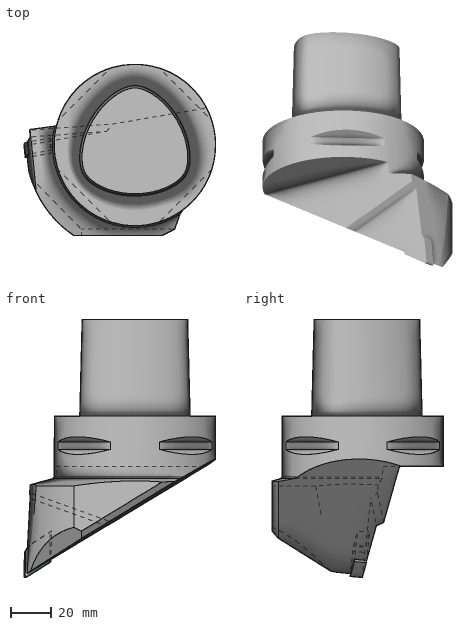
import cadquery as cq
import math

SHANK_HEIGHT = 48.0
SHANK_MEAN_RADIUS = 27.4
LOBE_OFFSET = 2.0
TAPER_PER_SIDE = 1 / 40
OUTLINE_POINTS = 36

FLANGE_RADIUS = 80.0 / 2
FLANGE_DEPTH = 24.8
NECK_DEPTH = 30.1
NECK_CHAMFER = 0.9

GROOVE_MIDDLE_Z = -14.6
GROOVE_FLOOR_HEIGHT = 3.6
GROOVE_DEPTH = 4.5
GROOVE_FLANK_ANGLE = 30
GROOVE_COUNT = 4

HEAD_RADIUS = 54.1
HEAD_FRONT_Y = -44.9
HEAD_BOTTOM_Z = -89.6
SHOULDER_ANGLE = 15
UNDERSIDE_SLOPE = 0.61
UNDERSIDE_SIDE_TILT = -0.03
UNDERSIDE_RIM_Z = -21.2
UNDERSIDE_POINT = (FLANGE_RADIUS, 0, UNDERSIDE_RIM_Z)
UNDERSIDE_NORMAL = (UNDERSIDE_SLOPE, UNDERSIDE_SIDE_TILT, -1)
SIDE_FACE_POINT = (-51.2, 0, -34.5)
SIDE_FACE_NORMAL = (-1, -0.1, 0.064)

RAKE_POINT = cq.Vector(-38.8, 10.1, -FLANGE_DEPTH)
RAKE_NORMAL = cq.Vector(-0.11, 1, -0.1).normalized()
RAKE_ROOT_RADIUS = 0.9
SEAT_DEPTH = 3.1
SEAT_POINT = RAKE_POINT - RAKE_NORMAL * SEAT_DEPTH
SEAT_WALL_POINT = (-52.2, 4.0, -40.6)
SEAT_WALL_NORMAL = (-0.42, 0.81, -1)

INSERT_EDGE = 15.2
INSERT_THICKNESS = 6.0
INSERT_TIP_X = -55
INSERT_TIP_Z = -80.6
INSERT_LEAD_ANGLE = 88
INSERT_LOWER_ANGLE = 32
INSERT_NOSE_RADIUS = 0.8
INSERT_CORNER_CUT = 2.0

SPACE_SIZE = 384


def half_space(point, normal):
    """Large block filling the side of a plane that its normal points to."""
    plane = cq.Plane(origin=point, normal=normal)
    return cq.Workplane(plane).rect(SPACE_SIZE, SPACE_SIZE).extrude(SPACE_SIZE)


def plane_normal(first, second, third):
    """Normal of the plane through three points."""
    start = cq.Vector(*first)
    return (cq.Vector(*second) - start).cross(cq.Vector(*third) - start)


def lobe_outline(mean_radius):
    """Points of a three-lobed constant-width curve with one lobe toward +Y."""
    points = []
    for index in range(OUTLINE_POINTS):
        angle = 2 * math.pi * index / OUTLINE_POINTS
        lobe_angle = 3 * (angle - math.pi / 2)
        reach = mean_radius + LOBE_OFFSET * math.cos(lobe_angle)
        turn = -3 * LOBE_OFFSET * math.sin(lobe_angle)
        x = reach * math.cos(angle) - turn * math.sin(angle)
        y = reach * math.sin(angle) + turn * math.cos(angle)
        points.append((x, y))
    return points


def make_shank():
    top_radius = SHANK_MEAN_RADIUS - SHANK_HEIGHT * TAPER_PER_SIDE
    return (
        cq.Workplane("XY")
        .spline(lobe_outline(SHANK_MEAN_RADIUS), periodic=True).close()
        .workplane(offset=SHANK_HEIGHT)
        .spline(lobe_outline(top_radius), periodic=True).close()
        .loft(ruled=True)
    )


def make_groove(angle):
    """Straight trapezoidal groove across the flange rim at the given angle."""
    floor_x = FLANGE_RADIUS - GROOVE_DEPTH
    cutter_depth = 2 * GROOVE_DEPTH
    floor_half = GROOVE_FLOOR_HEIGHT / 2
    mouth_half = floor_half + cutter_depth * math.tan(math.radians(GROOVE_FLANK_ANGLE))
    return (
        cq.Workplane("XZ")
        .polyline([
            (floor_x, GROOVE_MIDDLE_Z - floor_half),
            (floor_x + cutter_depth, GROOVE_MIDDLE_Z - mouth_half),
            (floor_x + cutter_depth, GROOVE_MIDDLE_Z + mouth_half),
            (floor_x, GROOVE_MIDDLE_Z + floor_half),
        ])
        .close()
        .extrude(FLANGE_RADIUS, both=True)
        .rotate((0, 0, 0), (0, 0, 1), angle)
    )


def make_flange_and_head_blank():
    """Turned blank: flange, chamfered neck, conical shoulder and head cylinder."""
    shoulder_radius = FLANGE_RADIUS + NECK_CHAMFER
    shoulder_z = -NECK_DEPTH - NECK_CHAMFER
    shoulder_drop = (HEAD_RADIUS - shoulder_radius) * math.tan(math.radians(SHOULDER_ANGLE))
    return (
        cq.Workplane("XZ")
        .polyline([
            (0, 0),
            (FLANGE_RADIUS, 0),
            (FLANGE_RADIUS, -NECK_DEPTH),
            (shoulder_radius, shoulder_z),
            (HEAD_RADIUS, shoulder_z - shoulder_drop),
            (HEAD_RADIUS, HEAD_BOTTOM_Z),
            (0, HEAD_BOTTOM_Z),
        ])
        .close()
        .revolve(360, (0, 0, 0), (0, 1, 0))
    )


def cut_head_outside(body):
    """Trim the flat front, tilted side face, oblique underside and its two edge chamfers."""
    chamfer_corner = (-26.5, HEAD_FRONT_Y, -57.0)
    long_chamfer_end = (13.2, HEAD_FRONT_Y, -32.8)
    long_chamfer_foot = (19.1, -41.7, -32.8)
    end_chamfer_foot = (-26.1, -41.7, -60.8)
    end_chamfer_tip = (-51.8, -15.7, -76.9)
    long_normal = plane_normal(chamfer_corner, long_chamfer_foot, long_chamfer_end)
    end_normal = plane_normal(chamfer_corner, end_chamfer_tip, end_chamfer_foot)
    trims = [
        ((0, HEAD_FRONT_Y, 0), (0, -1, 0)),
        (SIDE_FACE_POINT, SIDE_FACE_NORMAL),
        (UNDERSIDE_POINT, UNDERSIDE_NORMAL),
        (chamfer_corner, long_normal),
        (chamfer_corner, end_normal),
    ]
    for point, normal in trims:
        body = body.cut(half_space(point, normal))
    return body


def cut_rake_face(body):
    """Cut away the +Y side below the flange, round its root, then cut the seat."""
    below_flange = half_space((0, 0, -FLANGE_DEPTH), (0, 0, -1))
    body = body.cut(half_space(RAKE_POINT, RAKE_NORMAL).intersect(below_flange))
    root_y = RAKE_POINT.y + RAKE_NORMAL.x * RAKE_POINT.x / RAKE_NORMAL.y
    root_edge = cq.selectors.NearestToPointSelector((0, root_y, -FLANGE_DEPTH))
    body = body.edges(root_edge).fillet(RAKE_ROOT_RADIUS)
    seat = half_space(SEAT_POINT, RAKE_NORMAL)
    below_wall = half_space(SEAT_WALL_POINT, SEAT_WALL_NORMAL)
    return body.cut(seat.intersect(below_wall))


def make_insert():
    """Rhombic insert, its top flush with the seat, with a rounded cutting nose."""
    normal_offset = RAKE_NORMAL.x * (INSERT_TIP_X - SEAT_POINT.x)
    normal_offset += RAKE_NORMAL.z * (INSERT_TIP_Z - SEAT_POINT.z)
    tip = (INSERT_TIP_X, SEAT_POINT.y - normal_offset / RAKE_NORMAL.y, INSERT_TIP_Z)
    along_x = cq.Vector(1, -RAKE_NORMAL.x / RAKE_NORMAL.y, 0)
    top_plane = cq.Plane(origin=tip, xDir=along_x, normal=RAKE_NORMAL * -1)
    lower = math.radians(INSERT_LOWER_ANGLE)
    lead = math.radians(INSERT_LEAD_ANGLE)

    def corner(lower_length, lead_length):
        """Point reached from the tip along the two cutting edges."""
        x = lower_length * math.cos(lower) + lead_length * math.cos(lead)
        rise_from_tip = lower_length * math.sin(lower) + lead_length * math.sin(lead)
        return (x, rise_from_tip)

    blank = (
        cq.Workplane(top_plane)
        .polyline([
            (0, 0),
            corner(INSERT_EDGE, 0),
            corner(INSERT_EDGE, INSERT_EDGE),
            corner(INSERT_CORNER_CUT, INSERT_EDGE),
            corner(0, INSERT_EDGE - INSERT_CORNER_CUT),
        ])
        .close()
        .extrude(INSERT_THICKNESS)
    )
    nose_edge = cq.selectors.NearestToPointSelector(
        (cq.Vector(*tip) - RAKE_NORMAL * (INSERT_THICKNESS / 2)).toTuple()
    )
    return blank.edges(nose_edge).fillet(INSERT_NOSE_RADIUS)


def make_holder(insert):
    body = cut_rake_face(cut_head_outside(make_flange_and_head_blank()))
    for index in range(GROOVE_COUNT):
        body = body.cut(make_groove((index + 0.5) * 360 / GROOVE_COUNT))
    return body.union(make_shank()).cut(insert)


insert = make_insert()
holder = make_holder(insert)
result = cq.Compound.makeCompound([holder.solids().val(), insert.solids().val()])